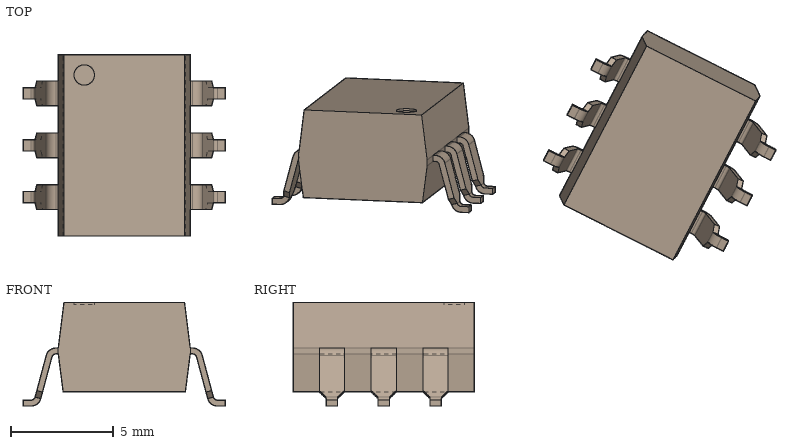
import cadquery as cq
import math

BODY_LENGTH = 8.89
BODY_HALF_WIDTH = 3.24
TOP_HALF_WIDTH = 2.96
BOTTOM_HALF_WIDTH = 3.0
BODY_BOTTOM_Z = 0.7
BODY_TOP_Z = 5.08

MARK_DIAMETER = 1.0
MARK_EDGE_DISTANCE = 1.0
MARK_DEPTH = 0.1

SPAN = 9.9
LEADS_PER_SIDE = 3
LEAD_PITCH = 2.54
LEAD_THICKNESS = 0.3
LEAD_TOP_Z = 2.85
SHOULDER_WIDTH = 1.23
FOOT_WIDTH = 0.56
INNER_RADIUS = 0.2
OUTER_RADIUS = INNER_RADIUS + LEAD_THICKNESS
LEG_TILT = math.radians(15)
FOOT_FLAT = 0.39

LEAD_BOTTOM_Z = LEAD_TOP_Z - LEAD_THICKNESS

FOOT_BEND = (-SPAN / 2 + FOOT_FLAT, OUTER_RADIUS)
SHOULDER_BEND_Z = LEAD_TOP_Z - OUTER_RADIUS
BEND_RISE = SHOULDER_BEND_Z - FOOT_BEND[1]
BEND_RUN = BEND_RISE * math.tan(LEG_TILT) + (INNER_RADIUS + OUTER_RADIUS) / math.cos(LEG_TILT)
SHOULDER_BEND = (FOOT_BEND[0] + BEND_RUN, SHOULDER_BEND_Z)


def make_housing():
    half_section = [
        (BOTTOM_HALF_WIDTH, BODY_BOTTOM_Z),
        (BODY_HALF_WIDTH, LEAD_BOTTOM_Z),
        (BODY_HALF_WIDTH, LEAD_TOP_Z),
        (TOP_HALF_WIDTH, BODY_TOP_Z),
    ]
    mirrored = [(-x, z) for x, z in reversed(half_section)]
    block = cq.Workplane("XZ").polyline(half_section + mirrored).close().extrude(BODY_LENGTH / 2, both=True)
    mark = (
        cq.Workplane("XY", origin=(0, 0, BODY_TOP_Z))
        .center(MARK_EDGE_DISTANCE - TOP_HALF_WIDTH, BODY_LENGTH / 2 - MARK_EDGE_DISTANCE)
        .circle(MARK_DIAMETER / 2)
        .extrude(-MARK_DEPTH)
    )
    return block.cut(mark)


def on_circle(center, radius, angle):
    """Point (x, z) on a circle, with the angle in radians from +X towards +Z."""
    return (center[0] + radius * math.cos(angle), center[1] + radius * math.sin(angle))


def make_bent_strip():
    """Full-width strip of the -X side: shoulder, tilted leg and foot, centred on Y = 0."""
    shoulder_end = math.pi - LEG_TILT
    shoulder_mid = (math.pi / 2 + shoulder_end) / 2
    foot_end = -LEG_TILT
    foot_mid = (-math.pi / 2 + foot_end) / 2
    return (
        cq.Workplane("XZ")
        .moveTo(-BODY_HALF_WIDTH, LEAD_TOP_Z)
        .lineTo(SHOULDER_BEND[0], LEAD_TOP_Z)
        .threePointArc(
            on_circle(SHOULDER_BEND, OUTER_RADIUS, shoulder_mid),
            on_circle(SHOULDER_BEND, OUTER_RADIUS, shoulder_end),
        )
        .lineTo(*on_circle(FOOT_BEND, INNER_RADIUS, foot_end))
        .threePointArc(
            on_circle(FOOT_BEND, INNER_RADIUS, foot_mid),
            on_circle(FOOT_BEND, INNER_RADIUS, -math.pi / 2),
        )
        .lineTo(-SPAN / 2, LEAD_THICKNESS)
        .lineTo(-SPAN / 2, 0)
        .lineTo(FOOT_BEND[0], 0)
        .threePointArc(
            on_circle(FOOT_BEND, OUTER_RADIUS, foot_mid),
            on_circle(FOOT_BEND, OUTER_RADIUS, foot_end),
        )
        .lineTo(*on_circle(SHOULDER_BEND, INNER_RADIUS, shoulder_end))
        .threePointArc(
            on_circle(SHOULDER_BEND, INNER_RADIUS, shoulder_mid),
            on_circle(SHOULDER_BEND, INNER_RADIUS, math.pi / 2),
        )
        .lineTo(-BODY_HALF_WIDTH, LEAD_BOTTOM_Z)
        .close()
        .extrude(SHOULDER_WIDTH / 2, both=True)
    )


def make_side_trims():
    """Blocks, square to the leg, that narrow the strip at 45 degrees down to the foot width."""
    side_step = (SHOULDER_WIDTH - FOOT_WIDTH) / 2
    reach = SPAN / 4
    leg_plane = cq.Plane(
        origin=(FOOT_BEND[0], 0, FOOT_BEND[1]),
        xDir=(math.sin(LEG_TILT), 0, math.cos(LEG_TILT)),
        normal=(math.cos(LEG_TILT), 0, -math.sin(LEG_TILT)),
    )
    trim = (
        cq.Workplane(leg_plane)
        .moveTo(-reach, FOOT_WIDTH / 2)
        .lineTo(0, FOOT_WIDTH / 2)
        .lineTo(side_step, SHOULDER_WIDTH / 2)
        .lineTo(-reach, SHOULDER_WIDTH / 2)
        .close()
        .extrude(reach, both=True)
    )
    return trim.union(trim.mirror("XZ"))


def make_leads():
    """One lead for each place: LEADS_PER_SIDE along Y on both sides of the housing."""
    left_lead = make_bent_strip().cut(make_side_trims())
    right_lead = left_lead.mirror("YZ")
    leads = []
    for index in range(LEADS_PER_SIDE):
        y = (index - (LEADS_PER_SIDE - 1) / 2) * LEAD_PITCH
        for lead in (left_lead, right_lead):
            leads.append(lead.translate((0, y, 0)).solids().val())
    return leads


housing = make_housing()
leads = make_leads()

result = cq.Compound.makeCompound([housing.val(), *leads])